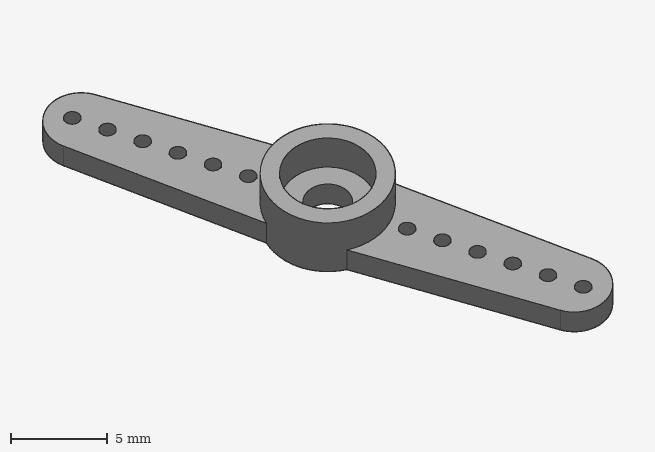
import cadquery as cq
import math

overall_length = 32.0
arm_thickness = 1.5
tip_radius = 2.0
root_half_width = 2.8

hub_diameter = 7.0
hub_height = 3.7
socket_diameter = 5.0
socket_depth = 2.2
bore_diameter = 2.6

holes_per_arm = 6
hole_pitch = 2.0
hole_diameter = 0.9
first_hole_offset = 4.5


def make_arms():
    """Double-ended plate whose straight edges run tangent into the round tips."""
    tip_center = overall_length / 2 - tip_radius
    taper = math.asin(root_half_width / math.hypot(tip_center, root_half_width))
    taper -= math.asin(tip_radius / math.hypot(tip_center, root_half_width))
    tangent_x = tip_center + tip_radius * math.sin(taper)
    tangent_y = tip_radius * math.cos(taper)
    end_x = overall_length / 2
    return (
        cq.Workplane("XY")
        .moveTo(0, root_half_width)
        .lineTo(tangent_x, tangent_y)
        .threePointArc((end_x, 0), (tangent_x, -tangent_y))
        .lineTo(0, -root_half_width)
        .lineTo(-tangent_x, -tangent_y)
        .threePointArc((-end_x, 0), (-tangent_x, tangent_y))
        .close()
        .extrude(arm_thickness)
    )


def make_hub():
    return cq.Workplane("XY").circle(hub_diameter / 2).extrude(hub_height)


def make_hub_cut():
    """Through bore with the wider socket open at the top."""
    bore = cq.Workplane("XY").circle(bore_diameter / 2).extrude(hub_height)
    socket = (
        cq.Workplane("XY")
        .workplane(offset=hub_height - socket_depth)
        .circle(socket_diameter / 2)
        .extrude(socket_depth)
    )
    return bore.union(socket)


def make_arm_holes():
    centers = [
        (side * (first_hole_offset + index * hole_pitch), 0)
        for side in (-1, 1)
        for index in range(holes_per_arm)
    ]
    return cq.Workplane("XY").pushPoints(centers).circle(hole_diameter / 2).extrude(arm_thickness)


result = make_arms().union(make_hub()).cut(make_hub_cut()).cut(make_arm_holes())